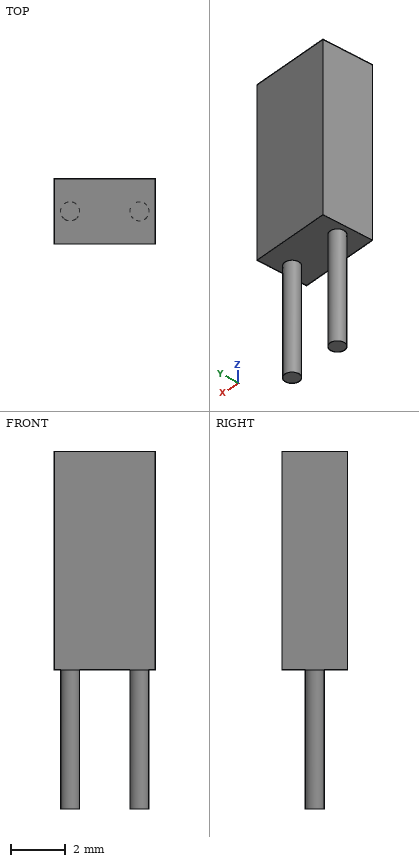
import cadquery as cq

HOUSING_WIDTH = 3.7
HOUSING_DEPTH = 2.4
HOUSING_HEIGHT = 8.0

TOTAL_HEIGHT = 13.1
LEAD_LENGTH = TOTAL_HEIGHT - HOUSING_HEIGHT
LEAD_DIAMETER = 0.7
LEAD_PITCH = 2.54


def make_housing():
    """Plain block centred on the Z axis, with its underside at Z = 0."""
    return cq.Workplane("XY").box(
        HOUSING_WIDTH, HOUSING_DEPTH, HOUSING_HEIGHT, centered=(True, True, False)
    )


def make_lead(x):
    """Straight round lead that hangs from the underside of the housing."""
    return (
        cq.Workplane("XY")
        .center(x, 0)
        .circle(LEAD_DIAMETER / 2)
        .extrude(-LEAD_LENGTH)
    )


housing = make_housing()
leads = [make_lead(side * LEAD_PITCH / 2) for side in (-1, 1)]

result = cq.Compound.makeCompound([housing.val(), *[lead.val() for lead in leads]])